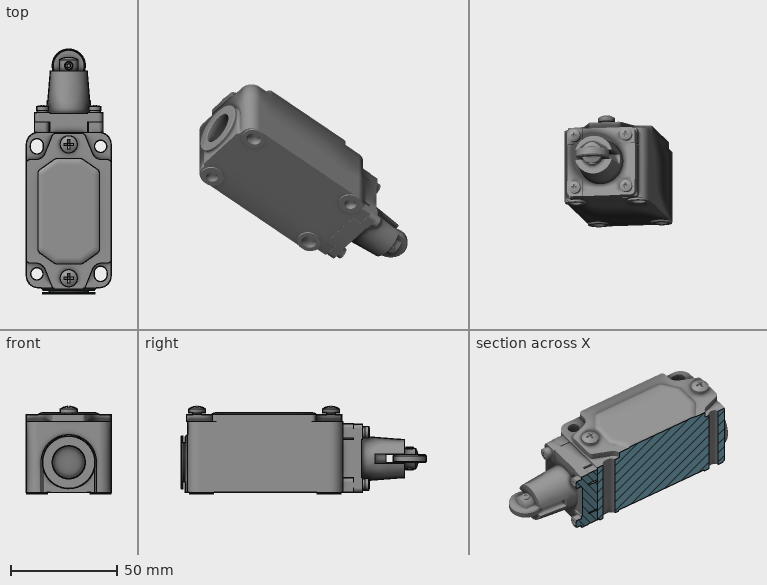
import cadquery as cq
import math


HOUSING_WIDTH = 40.0
HOUSING_BACK = 76.0
HOUSING_FRONT = 3.0
HOUSING_MIDDLE_Y = (HOUSING_FRONT + HOUSING_BACK) / 2
HOUSING_FLOOR = 0.7
HOUSING_TOP = 34.1
HOUSING_CORNER_RADIUS = 5.6

COVER_TOP = 37.2
COVER_MIDDLE_Y = 38.9
COVER_LENGTH = 73.0
NOTCH_LENGTH = 12.2
COVER_END_HALF_WIDTH = 7.4
NOTCH_ROOT_HALF_WIDTH = 12.3
COVER_END_RADIUS = 1.6
NOTCH_ROOT_RADIUS = 4.8
COVER_SIDE_RADIUS = 1.8
CORNER_REACH = 0.1

PANEL_HEIGHT = 1.0
PANEL_HALF_WIDTH = 11.6
PANEL_HALF_LENGTH = 21.9
PANEL_END_HALF_WIDTH = 5.2
PANEL_SIDE_HALF_LENGTH = 17.4
PANEL_EDGE_RADIUS = 4.5
PANEL_ROOT_DEPTH = 0.6
PANEL_CORNER_MARGIN = 0.06

HOLE_X = 15.0
HOLE_SPACING_Y = 59.9
HOLE_DIAMETER = 5.6
SLOT_WIDTH = 6.0
SLOT_LENGTH = 7.1
FOOT_WIDTH = 9.9
FOOT_LENGTH = 11.3

COVER_SCREW_SPACING = 62.9
COVER_SCREW_RADIUS = 4.0
COVER_SCREW_NECK_RADIUS = 2.1
COVER_SCREW_NECK_HEIGHT = 0.9
COVER_SCREW_RIM_HEIGHT = 1.7
COVER_SCREW_DOME_HEIGHT = 1.4
COVER_SCREW_CROSS_LENGTH = 5.3
COVER_SCREW_CROSS_WIDTH = 1.0

CROSS_DEPTH_RATIO = 1 / 3

ENTRY_Z = 14.9
ENTRY_PLATE_RADIUS = 13.0
ENTRY_PLATE_FACE = 1.8
ENTRY_PLATE_BEVEL = 1.0
ENTRY_DISC_RADIUS = 12.4
ENTRY_DISC_THICKNESS = 0.8
ENTRY_DISC_BEVEL = 0.2
ENTRY_NECK_RADIUS = 9.2
ENTRY_BORE_RADIUS = 7.6
ENTRY_BORE_DEPTH = 7.4
ENTRY_BORE_BEVEL = 0.2

AXIS_Z = 16.6
HEAD_WIDTH = 32.3
HEAD_MIDDLE_Z = 16.7
HEAD_FACE = 84.8
HEAD_STEP = 81.0
HEAD_CORNER_RADIUS = 2.2
TAB_SIZE = 6.8
TAB_GAP = 0.5
TAB_LIFT = 0.2
TAB_CORNER_RADIUS = 2.1
PAD_HEIGHT = 0.5
PAD_SIZE = 7.4

HEAD_SCREW_OFFSET = 12.3
HEAD_SCREW_RADIUS = 2.8
HEAD_WASHER_RADIUS = 2.6
HEAD_WASHER_HEIGHT = 1.0
HEAD_SCREW_RIM_HEIGHT = 1.8
HEAD_SCREW_DOME_HEIGHT = 0.5
HEAD_SCREW_CROSS_LENGTH = 3.2
HEAD_SCREW_CROSS_WIDTH = 0.8

CONE_TIP = 105.0
CONE_BASE_RADIUS = 10.6
CONE_TIP_RADIUS = 9.0
CONE_SLOT_WIDTH = 4.5
CONE_SLOT_BOTTOM = 91.0

ROLLER_RADIUS = 7.8
ROLLER_WIDTH = 3.8
ROLLER_BEVEL = 0.6
ROLLER_Y = 115.2 - ROLLER_RADIUS
PLUNGER_RADIUS = 4.8
PLUNGER_SHOULDER = 110.1
PLUNGER_DOME_HEIGHT = 1.4
PLUNGER_SLOT_BOTTOM = 96.3
PIN_RADIUS = 2.0
PIN_LENGTH = 10.7
PIN_BEVEL = 0.3
PIN_HOLE_RADIUS = 0.9
PIN_HOLE_DEPTH = 1.4

CORNERS = [(sx, sy) for sx in (-1, 1) for sy in (-1, 1)]


def box_between(x0, x1, y0, y1, z0, z1):
    """Box given by its two limits along each axis."""
    return cq.Workplane("XY").box(x1 - x0, y1 - y0, z1 - z0, centered=False).translate((x0, y0, z0))


def turned_along_y(shape, y, z):
    """Turn a shape built along +Z so that it points along +Y from the given place."""
    return shape.rotate((0, 0, 0), (1, 0, 0), -90).translate((0, y, z))


def dome_arc_middle(radius, height, top):
    """Middle point of a spherical dome's profile arc, from its rim to its top."""
    dome_radius = (radius**2 + height**2) / (2 * height)
    half_angle = math.asin(radius / dome_radius) / 2
    return (dome_radius * math.sin(half_angle), top - dome_radius * (1 - math.cos(half_angle)))


def screw_head(neck_radius, neck_height, radius, rim_height, dome_height, cross_length, cross_width):
    """Domed screw head on a neck, standing on Z = 0, with a tapered cross recess."""
    rim_top = neck_height + rim_height
    top = rim_top + dome_height
    head = (
        cq.Workplane("XZ")
        .lineTo(neck_radius, 0)
        .lineTo(neck_radius, neck_height)
        .lineTo(radius, neck_height)
        .lineTo(radius, rim_top)
        .threePointArc(dome_arc_middle(radius, dome_height, top), (0, top))
        .close()
        .revolve(360, (0, 0), (0, 1))
    )
    recess_floor = top - cross_length * CROSS_DEPTH_RATIO
    arm = (
        cq.Workplane("XZ")
        .moveTo(-cross_length / 2, top)
        .lineTo(-cross_width / 2, recess_floor)
        .lineTo(cross_width / 2, recess_floor)
        .lineTo(cross_length / 2, top)
        .close()
        .extrude(cross_width / 2, both=True)
    )
    return head.cut(arm).cut(arm.rotate((0, 0, 0), (0, 0, 1), 90))


def housing_block():
    """Block with round vertical edges."""
    half = HOUSING_WIDTH / 2
    block = box_between(-half, half, HOUSING_FRONT, HOUSING_BACK, HOUSING_FLOOR, HOUSING_TOP)
    return block.edges("|Z").fillet(HOUSING_CORNER_RADIUS)


def cover():
    """Cover plate with a notch around each mounting hole."""
    half_width = HOUSING_WIDTH / 2
    half_length = COVER_LENGTH / 2
    notch_y = half_length - NOTCH_LENGTH
    quarter = [
        (half_width, notch_y),
        (NOTCH_ROOT_HALF_WIDTH, notch_y),
        (COVER_END_HALF_WIDTH, half_length),
    ]
    outline = quarter + [(-x, y) for x, y in reversed(quarter)]
    outline += [(-x, -y) for x, y in outline]
    plate = cq.Workplane("XY").polyline(outline).close().extrude(COVER_TOP - HOUSING_TOP)

    radii = (COVER_SIDE_RADIUS, NOTCH_ROOT_RADIUS, COVER_END_RADIUS)
    for (x, y), radius in zip(quarter, radii):
        for sx, sy in CORNERS:
            corner = cq.selectors.BoxSelector(
                (sx * x - CORNER_REACH, sy * y - CORNER_REACH, 0),
                (sx * x + CORNER_REACH, sy * y + CORNER_REACH, COVER_TOP),
            )
            plate = plate.edges("|Z").edges(corner).fillet(radius)
    return plate.translate((0, COVER_MIDDLE_Y, HOUSING_TOP))


def raised_panel():
    """Eight-sided panel whose edge rolls down to the cover as an arc."""
    quarter = [(PANEL_HALF_WIDTH, PANEL_SIDE_HALF_LENGTH), (PANEL_END_HALF_WIDTH, PANEL_HALF_LENGTH)]
    outline = quarter + [(-x, y) for x, y in reversed(quarter)]
    outline += [(-x, -y) for x, y in outline]
    depth = PANEL_EDGE_RADIUS + PANEL_ROOT_DEPTH
    panel = (
        cq.Workplane("XY")
        .polyline(outline)
        .close()
        .offset2D(PANEL_EDGE_RADIUS + PANEL_CORNER_MARGIN)
        .extrude(depth)
        .faces(">Z")
        .edges()
        .fillet(PANEL_EDGE_RADIUS)
    )
    return panel.translate((0, COVER_MIDDLE_Y, COVER_TOP + PANEL_HEIGHT - depth))


def mounting_holes():
    """Two round holes on one diagonal and two slots on the other, all through."""
    holes = cq.Workplane("XY")
    for sx, sy in CORNERS:
        spot = cq.Workplane("XY").center(sx * HOLE_X, HOUSING_MIDDLE_Y + sy * HOLE_SPACING_Y / 2)
        if sx == sy:
            holes = holes.add(spot.circle(HOLE_DIAMETER / 2).extrude(COVER_TOP))
        else:
            holes = holes.add(spot.slot2D(SLOT_LENGTH, SLOT_WIDTH, 90).extrude(COVER_TOP))
    return holes.combine()


def feet():
    """Low oblong feet under the mounting holes, trimmed to the housing outline."""
    pads = (
        cq.Workplane("XY")
        .pushPoints(
            [(sx * HOLE_X, HOUSING_MIDDLE_Y + sy * HOLE_SPACING_Y / 2) for sx, sy in CORNERS]
        )
        .slot2D(FOOT_LENGTH, FOOT_WIDTH, 90)
        .extrude(HOUSING_FLOOR)
    )
    return pads.intersect(housing_block().translate((0, 0, -HOUSING_FLOOR)))


def cable_entry():
    """Arched plate with a bevelled edge, and a grooved disc in front of it."""
    plate_depth = HOUSING_FRONT - ENTRY_PLATE_FACE
    drop = ENTRY_Z - HOUSING_FLOOR
    plate = (
        cq.Workplane("XZ", origin=(0, HOUSING_FRONT, ENTRY_Z))
        .moveTo(-ENTRY_PLATE_RADIUS, -drop)
        .lineTo(-ENTRY_PLATE_RADIUS, 0)
        .threePointArc((0, ENTRY_PLATE_RADIUS), (ENTRY_PLATE_RADIUS, 0))
        .lineTo(ENTRY_PLATE_RADIUS, -drop)
        .close()
        .extrude(plate_depth)
    )
    plate = plate.faces("<Y").edges("not <Z").chamfer(ENTRY_PLATE_BEVEL)
    neck = (
        cq.Workplane("XZ", origin=(0, HOUSING_FRONT, ENTRY_Z))
        .circle(ENTRY_NECK_RADIUS)
        .extrude(HOUSING_FRONT)
    )
    disc = (
        cq.Workplane("XZ", origin=(0, ENTRY_DISC_THICKNESS, ENTRY_Z))
        .circle(ENTRY_DISC_RADIUS)
        .extrude(ENTRY_DISC_THICKNESS)
        .faces("<Y")
        .chamfer(ENTRY_DISC_BEVEL)
    )
    return plate.union(neck).union(disc)


def entry_bore():
    """Blind bore of the cable entry, bevelled at its mouth."""
    mouth = ENTRY_BORE_RADIUS + ENTRY_BORE_BEVEL
    return (
        cq.Workplane("XY", origin=(0, 0, ENTRY_Z))
        .lineTo(mouth, 0)
        .lineTo(ENTRY_BORE_RADIUS, ENTRY_BORE_BEVEL)
        .lineTo(ENTRY_BORE_RADIUS, ENTRY_BORE_DEPTH)
        .lineTo(0, ENTRY_BORE_DEPTH)
        .close()
        .revolve(360, (0, 0), (0, 1))
    )


def make_housing():
    body = housing_block().union(cover()).union(raised_panel()).union(feet()).union(cable_entry())
    screw = screw_head(
        COVER_SCREW_NECK_RADIUS,
        COVER_SCREW_NECK_HEIGHT,
        COVER_SCREW_RADIUS,
        COVER_SCREW_RIM_HEIGHT,
        COVER_SCREW_DOME_HEIGHT,
        COVER_SCREW_CROSS_LENGTH,
        COVER_SCREW_CROSS_WIDTH,
    )
    for side in (-1, 1):
        screw_y = COVER_MIDDLE_Y + side * COVER_SCREW_SPACING / 2
        body = body.union(screw.translate((0, screw_y, COVER_TOP)))
    return body.cut(mounting_holes()).cut(entry_bore())


def head_base():
    """Square plate; behind its step, four corner tabs stand clear of a cross-shaped core."""
    half = HEAD_WIDTH / 2
    low = HEAD_MIDDLE_Z - half
    high = HEAD_MIDDLE_Z + half
    front = box_between(-half, half, HEAD_STEP, HEAD_FACE, low, high)
    front = front.edges("|Y").fillet(HEAD_CORNER_RADIUS)

    core_half = half - TAB_SIZE - TAB_GAP
    upright = box_between(-core_half, core_half, HOUSING_BACK, HEAD_STEP, low, high)
    crossbar = box_between(
        -half, half, HOUSING_BACK, HEAD_STEP, HEAD_MIDDLE_Z - core_half, HEAD_MIDDLE_Z + core_half
    )
    base = front.union(upright).union(crossbar)

    tab = box_between(0, TAB_SIZE, HOUSING_BACK, HEAD_STEP, TAB_LIFT, TAB_LIFT + TAB_SIZE)
    tab = tab.edges("|Y and >X and >Z").fillet(TAB_CORNER_RADIUS)
    for x in (-half, half - TAB_SIZE):
        for z in (low, high - TAB_SIZE):
            base = base.union(tab.translate((x, 0, z)))

    pad_layer = front.translate((0, PAD_HEIGHT, 0))
    bare = half - PAD_SIZE
    pad_layer = pad_layer.cut(box_between(-bare, bare, HEAD_FACE, CONE_TIP, low, high))
    pad_layer = pad_layer.cut(
        box_between(-half, half, HEAD_FACE, CONE_TIP, HEAD_MIDDLE_Z - bare, HEAD_MIDDLE_Z + bare)
    )
    return base.union(pad_layer)


def make_head():
    cone = turned_along_y(
        cq.Workplane("XY")
        .circle(CONE_BASE_RADIUS)
        .workplane(offset=CONE_TIP - HEAD_FACE)
        .circle(CONE_TIP_RADIUS)
        .loft(),
        HEAD_FACE,
        AXIS_Z,
    )
    head = head_base().union(cone)

    screw = screw_head(
        HEAD_WASHER_RADIUS,
        HEAD_WASHER_HEIGHT,
        HEAD_SCREW_RADIUS,
        HEAD_SCREW_RIM_HEIGHT,
        HEAD_SCREW_DOME_HEIGHT,
        HEAD_SCREW_CROSS_LENGTH,
        HEAD_SCREW_CROSS_WIDTH,
    )
    screw = turned_along_y(screw, HEAD_FACE + PAD_HEIGHT, HEAD_MIDDLE_Z)
    for sx, sz in CORNERS:
        head = head.union(screw.translate((sx * HEAD_SCREW_OFFSET, 0, sz * HEAD_SCREW_OFFSET)))

    slot = box_between(
        -CONE_BASE_RADIUS,
        CONE_BASE_RADIUS,
        CONE_SLOT_BOTTOM,
        CONE_TIP,
        AXIS_Z - CONE_SLOT_WIDTH / 2,
        AXIS_Z + CONE_SLOT_WIDTH / 2,
    )
    bore = turned_along_y(
        cq.Workplane("XY").circle(PLUNGER_RADIUS).extrude(CONE_TIP - HEAD_FACE),
        HEAD_FACE,
        AXIS_Z,
    )
    return head.cut(slot).cut(bore)


def make_roller_plunger():
    """Plunger with a forked, domed end that holds the roller on its pin."""
    shoulder = PLUNGER_SHOULDER - HEAD_FACE
    tip = shoulder + PLUNGER_DOME_HEIGHT
    plunger = turned_along_y(
        cq.Workplane("XZ")
        .lineTo(PLUNGER_RADIUS, 0)
        .lineTo(PLUNGER_RADIUS, shoulder)
        .threePointArc(dome_arc_middle(PLUNGER_RADIUS, PLUNGER_DOME_HEIGHT, tip), (0, tip))
        .close()
        .revolve(360, (0, 0), (0, 1)),
        HEAD_FACE,
        AXIS_Z,
    )
    fork_slot = box_between(
        -PLUNGER_RADIUS,
        PLUNGER_RADIUS,
        PLUNGER_SLOT_BOTTOM,
        HEAD_FACE + tip,
        AXIS_Z - ROLLER_WIDTH / 2,
        AXIS_Z + ROLLER_WIDTH / 2,
    )
    centre = (0, ROLLER_Y, AXIS_Z)
    roller = (
        cq.Workplane("XY", origin=centre)
        .circle(ROLLER_RADIUS)
        .extrude(ROLLER_WIDTH / 2, both=True)
        .faces("<Z or >Z")
        .chamfer(ROLLER_BEVEL)
    )
    pin = (
        cq.Workplane("XY", origin=centre)
        .circle(PIN_RADIUS)
        .extrude(PIN_LENGTH / 2, both=True)
        .faces("<Z or >Z")
        .chamfer(PIN_BEVEL)
        .faces(">Z")
        .workplane()
        .hole(2 * PIN_HOLE_RADIUS, PIN_HOLE_DEPTH)
    )
    return plunger.cut(fork_slot).union(roller).union(pin)


housing = make_housing()
head = make_head()
roller_plunger = make_roller_plunger()

result = cq.Compound.makeCompound([housing.val(), head.val(), roller_plunger.val()])